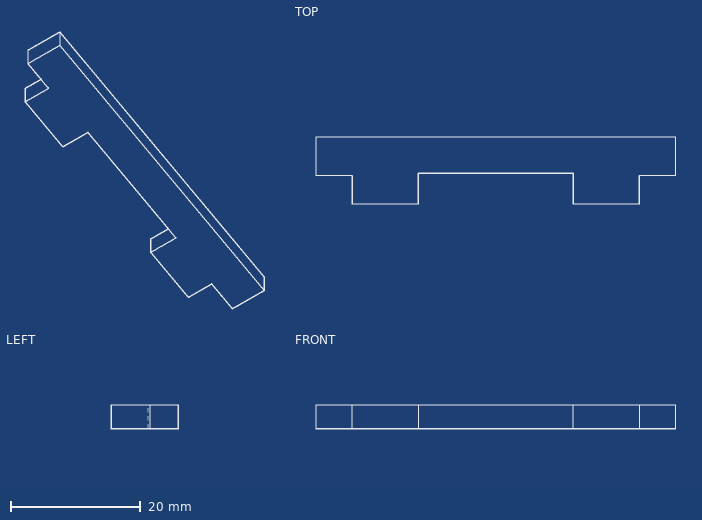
import cadquery as cq

length = 55.4
depth = 10.35
thickness = 3.7

foot_width = 10.2
foot_gap = 23.8
end_bar_depth = 6.0
middle_bar_depth = 5.65

back_y = depth / 2
front_y = -depth / 2
end_y = back_y - end_bar_depth
middle_y = back_y - middle_bar_depth
half_length = length / 2
foot_inner_x = foot_gap / 2
foot_outer_x = foot_inner_x + foot_width

half_outline = [
    (0, middle_y),
    (foot_inner_x, middle_y),
    (foot_inner_x, front_y),
    (foot_outer_x, front_y),
    (foot_outer_x, end_y),
    (half_length, end_y),
    (half_length, back_y),
    (0, back_y),
]

result = (
    cq.Workplane("XY")
    .polyline(half_outline)
    .mirrorY()
    .extrude(thickness)
    .translate((0, 0, -thickness / 2))
)